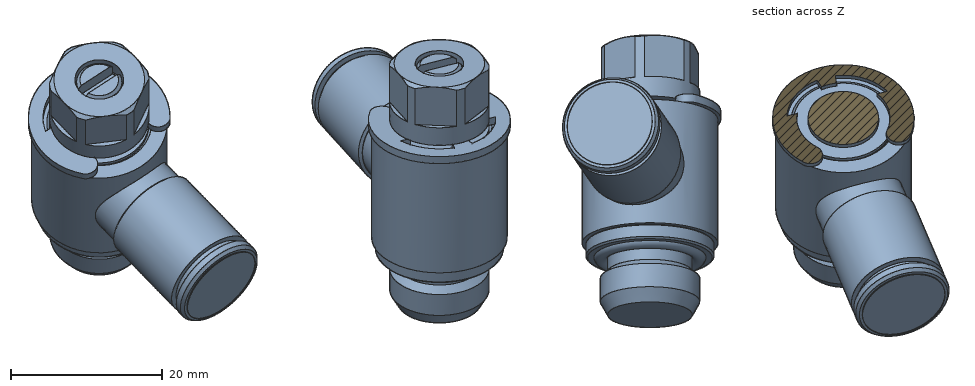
import cadquery as cq
import math

thread_taper_top = 1.8
thread_top = 5.05
neck_bottom = 5.92
collar_bottom = 7.95
body_bottom = 9.93
body_top = 27.07
groove_bottom = 27.2
groove_top = 28.3
hex_bottom = 31.05
bolt_top = 37.0

bolt_radius = 13.2 / 2
neck_radius = 11.2 / 2
thread_end_radius = neck_radius
groove_radius = 9.4 / 2
collar_radius = 17.0 / 2
collar_top_chamfer = 0.15
collar_bottom_chamfer = 0.25
hex_sides = 6
hex_across_flats = 12.0
hex_chamfer_angle = 30.0

o_ring_bottom = 7.2
o_ring_section_radius = 0.92
o_ring_ring_radius = neck_radius + o_ring_section_radius
o_ring_centre_height = o_ring_bottom + o_ring_section_radius
o_ring_seat_radius = neck_radius + 2 * o_ring_section_radius
o_ring_seat_depth = o_ring_bottom + 2 * o_ring_section_radius - collar_bottom

screw_radius = 6.0 / 2
screw_length = 8.0
screw_recess = 0.1
screw_chamfer = 0.45
screw_slot_width = 1.55
screw_slot_depth = 2.0
screw_clearance_radius = 6.4 / 2
screw_clearance_depth = screw_recess + screw_slot_depth

body_radius = 18.0 / 2
bore_chamfer = 0.35
branch_radius = 12.0 / 2
branch_height = 18.5

clip_radius = 18.8 / 2
clip_inner_radius = 12.3 / 2
clip_end_angle = 52.1
clip_notch_radius = 7.45
clip_notch_straight_end = 2.68
clip_notch_radial_end_angle = 10.0

sleeve_start = 11.03
sleeve_end = 23.55
sleeve_radius = 13.0 / 2
sleeve_chamfer_length = 0.2
sleeve_chamfer_depth = 0.45
release_flange_start = 24.54
release_flange_end = 25.87
release_end = 26.0
release_stem_radius = 11.5 / 2
release_chamfer_length = 0.45
release_chamfer_depth = 0.35


def cylinder(radius, bottom, top):
    """Vertical cylinder on the main axis between two heights."""
    return cq.Workplane("XY").workplane(offset=bottom).circle(radius).extrude(top - bottom)


def ring(outer_radius, inner_radius, bottom, top):
    """Vertical ring on the main axis between two heights."""
    return (
        cq.Workplane("XY")
        .workplane(offset=bottom)
        .circle(outer_radius)
        .circle(inner_radius)
        .extrude(top - bottom)
    )


def branch_cylinder(radius, start, end):
    """Cylinder on the side-branch axis between two distances from the main axis."""
    return (
        cq.Workplane("YZ")
        .workplane(offset=start)
        .center(0, branch_height)
        .circle(radius)
        .extrude(end - start)
    )


def make_bolt_shank():
    """Turned bolt below the hexagon: thread, neck, collar, bearing and clip groove."""
    profile = [
        (0, 0),
        (thread_end_radius, 0),
        (bolt_radius, thread_taper_top),
        (bolt_radius, thread_top),
        (neck_radius, neck_bottom),
        (neck_radius, collar_bottom),
        (collar_radius - collar_bottom_chamfer, collar_bottom),
        (collar_radius, collar_bottom + collar_bottom_chamfer),
        (collar_radius, body_bottom - collar_top_chamfer),
        (collar_radius - collar_top_chamfer, body_bottom),
        (bolt_radius, body_bottom),
        (bolt_radius, groove_bottom),
        (groove_radius, groove_bottom),
        (groove_radius, groove_top),
        (bolt_radius, groove_top),
        (bolt_radius, hex_bottom),
        (0, hex_bottom),
    ]
    return cq.Workplane("XZ").polyline(profile).close().revolve(360, (0, 0), (0, 1))


def make_hex_head():
    """Hexagon with corners turned to the bolt diameter and a chamfered top."""
    across_corners = hex_across_flats / math.cos(math.pi / hex_sides)
    hexagon = (
        cq.Workplane("XY")
        .workplane(offset=hex_bottom)
        .polygon(hex_sides, across_corners)
        .extrude(bolt_top - hex_bottom)
    )
    top_radius = hex_across_flats / 2
    chamfer_height = (bolt_radius - top_radius) * math.tan(math.radians(hex_chamfer_angle))
    turned_profile = [
        (0, hex_bottom),
        (bolt_radius, hex_bottom),
        (bolt_radius, bolt_top - chamfer_height),
        (top_radius, bolt_top),
        (0, bolt_top),
    ]
    turned = cq.Workplane("XZ").polyline(turned_profile).close().revolve(360, (0, 0), (0, 1))
    return hexagon.intersect(turned)


def make_bolt():
    """Banjo bolt with the O-ring seat and the stepped hole for the adjusting screw."""
    o_ring_seat = ring(o_ring_seat_radius, neck_radius, collar_bottom, collar_bottom + o_ring_seat_depth)
    screw_hole = cylinder(screw_radius, bolt_top - screw_recess - screw_length, bolt_top)
    clearance_hole = cylinder(screw_clearance_radius, bolt_top - screw_clearance_depth, bolt_top)
    bolt = make_bolt_shank().union(make_hex_head())
    return bolt.cut(o_ring_seat).cut(screw_hole).cut(clearance_hole)


def make_o_ring():
    """Round-section seal around the neck, under the collar."""
    return (
        cq.Workplane("XZ")
        .center(o_ring_ring_radius, o_ring_centre_height)
        .circle(o_ring_section_radius)
        .revolve(360, (-o_ring_ring_radius, 0), (-o_ring_ring_radius, 1))
    )


def make_adjusting_screw():
    """Cylindrical screw with a chamfered top and a driver slot along Y."""
    screw_top = bolt_top - screw_recess
    screw = cylinder(screw_radius, screw_top - screw_length, screw_top)
    screw = screw.faces(">Z").edges().chamfer(screw_chamfer)
    slot = (
        cq.Workplane("XY")
        .workplane(offset=screw_top - screw_slot_depth)
        .rect(screw_slot_width, 2 * screw_clearance_radius)
        .extrude(screw_slot_depth)
    )
    return screw.cut(slot)


def make_body():
    """Swivel body: vertical barrel with side branch and a bore for the bolt."""
    barrel = cylinder(body_radius, body_bottom, body_top)
    branch = branch_cylinder(branch_radius, 0, sleeve_start)
    bore_profile = [
        (0, body_bottom),
        (bolt_radius, body_bottom),
        (bolt_radius, body_top - bore_chamfer),
        (bolt_radius + bore_chamfer, body_top),
        (0, body_top),
    ]
    bore = cq.Workplane("XZ").polyline(bore_profile).close().revolve(360, (0, 0), (0, 1))
    return barrel.union(branch).cut(bore)


def make_clip_notch(side):
    """Arc-shaped notch in the clip's inner edge; side is +1 or -1 along Y."""
    reach = clip_radius
    slope = math.tan(math.radians(clip_notch_radial_end_angle))
    outline = [
        (-clip_notch_straight_end, side * slope * clip_notch_straight_end),
        (-clip_notch_straight_end, side * reach),
        (-reach, side * reach),
        (-reach, side * slope * reach),
    ]
    sector = (
        cq.Workplane("XY")
        .workplane(offset=groove_bottom)
        .polyline(outline)
        .close()
        .extrude(groove_top - groove_bottom)
    )
    return sector.intersect(cylinder(clip_notch_radius, groove_bottom, groove_top))


def make_clip():
    """C-shaped clip in the bolt groove, open toward +X with rounded ends."""
    end = math.radians(clip_end_angle)

    def point(radius, side):
        return (radius * math.cos(end), side * radius * math.sin(end))

    end_middle_radius = (clip_radius + clip_inner_radius) / 2
    end_radius = (clip_radius - clip_inner_radius) / 2

    def end_tip(side):
        x, y = point(end_middle_radius, side)
        return (x + end_radius * math.sin(end), y - side * end_radius * math.cos(end))

    clip = (
        cq.Workplane("XY")
        .workplane(offset=groove_bottom)
        .moveTo(*point(clip_radius, 1))
        .threePointArc((-clip_radius, 0), point(clip_radius, -1))
        .threePointArc(end_tip(-1), point(clip_inner_radius, -1))
        .threePointArc((-clip_inner_radius, 0), point(clip_inner_radius, 1))
        .threePointArc(end_tip(1), point(clip_radius, 1))
        .close()
        .extrude(groove_top - groove_bottom)
    )
    for side in (1, -1):
        clip = clip.cut(make_clip_notch(side))
    return clip


def make_sleeve():
    """Connector sleeve on the end of the branch, with a chamfered inner end."""
    sleeve = branch_cylinder(sleeve_radius, sleeve_start, sleeve_end)
    return sleeve.faces("<X").edges().chamfer(sleeve_chamfer_length, sleeve_chamfer_depth)


def make_release_ring():
    """Stem with a flange, chamfered on its outer edge, at the end of the sleeve."""
    profile = [
        (sleeve_end, 0),
        (sleeve_end, release_stem_radius),
        (release_flange_start, release_stem_radius),
        (release_flange_start, sleeve_radius),
        (release_flange_end - release_chamfer_length, sleeve_radius),
        (release_flange_end, sleeve_radius - release_chamfer_depth),
        (release_flange_end, release_stem_radius),
        (release_end, release_stem_radius),
        (release_end, 0),
    ]
    return (
        cq.Workplane("XZ")
        .center(0, branch_height)
        .polyline(profile)
        .close()
        .revolve(360, (0, 0), (1, 0))
    )


bolt = make_bolt()
o_ring = make_o_ring()
adjusting_screw = make_adjusting_screw()
body = make_body()
clip = make_clip()
sleeve = make_sleeve()
release_ring = make_release_ring()

result = cq.Compound.makeCompound([
    bolt.solids().val(),
    o_ring.solids().val(),
    adjusting_screw.solids().val(),
    body.solids().val(),
    clip.solids().val(),
    sleeve.solids().val(),
    release_ring.solids().val(),
])